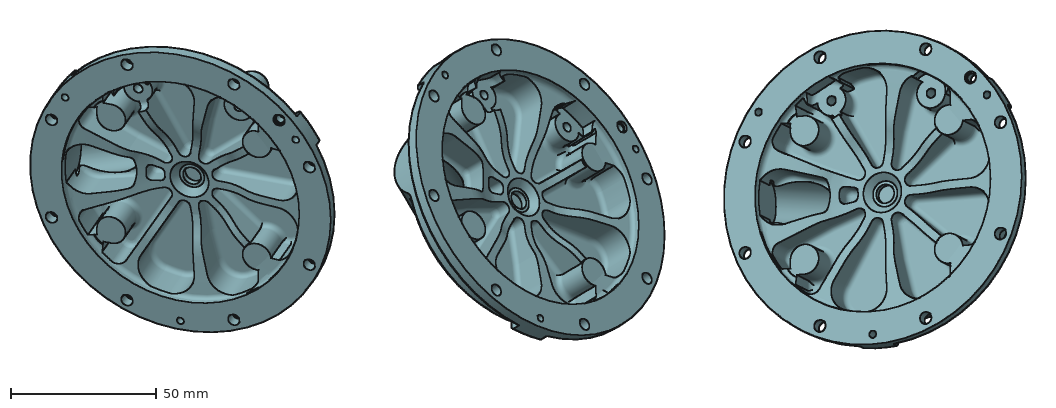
import cadquery as cq
import math


far = 49.5
margin = 0.1

flange_radius = 55
flange_thickness = 4.6
flange_chamfer_axial = 0.5
flange_chamfer_radial = 0.28
bolt_count = 8
bolt_circle = 51.0
bolt_diameter = 4.2
dowel_circle = 51.5
dowel_diameter = 2.5
dowel_angles = (35, 145, 270)
jack_hole_angle = 45
jack_hole_diameter = 3.1
jack_counterbore_diameter = 4.2
jack_counterbore_depth = 1.1

pad_half_width = 6.2
pad_top = 8.4
pad_root_fillet = 3.3
pad_rim_chamfer = 0.9

dome_radius = 46.0
dome_top = 19.4
dome_chamfer_axial = 3.3
dome_chamfer_radial = 3.1
hub_top = 23.3
hub_base_radius = 24.3
hub_top_radius = 20.6

bore_radius = 87.0 / 2
web_depth = 3.3
web_corner_fillet = 1.8
hub_web_depth = 9.2
dish_inner_radius = 13.8
dish_outer_radius = 27.8
web_slope = 6
recess_rim_radius = 7.0
recess_step_radius = 9.0 / 2
recess_floor_radius = 6.6 / 2
recess_step_depth = 11.9
recess_floor_depth = 14.3

pocket_depth = 16.3
pocket_wall_radius = 43.1
floor_fillet = 1.9
tip_radius = 2.3
rib_pitch = 40
petal_angles = (0, 40, 80, 120, 200, 240, 280, 320)
narrow_petal_angles = (120, 200)
rib_half_width = 1.5
flare_start = 23.1
flared_half_width = 3.1
flared_ribs = (80, 160, 200, 280)
petal_corner_radius = 7.7
narrow_corner_radius = 3.3

post_radius = 10.5 / 2
post_x = 26.6
post_z = 22.5
post_shoulder = 3.0
slab_thickness = 1.1
post_top = 3.7
post_seat_radius = 6.8
block_offset_x = 0.7
block_offset_z = -0.5
pin_x = 18.4
pin_z = 33.3
pin_top = 24.3
pin_hole_diameter = 3.3
pin_web_start = 40.2
pin_web_half_width = 7.2
pin_face_depth = 8.1
pin_face_radius = 7.2

pipe_angle = 35
pipe_radius = 12.5
pipe_bore_diameter = 15.1
pipe_length = 66
pipe_bore_length = 37.4
pipe_end_x = -11.2
pipe_end_y = 32.2
pipe_blend = 4.2
pipe_foot_min_z = 9.9

inlet_near_x = -18.8
inlet_near_corner = (-20.0, 5.9)
inlet_far_corner = (-33.7, 9.5)
inlet_bulge = (-38.0, 9.6)
inlet_rim_z = 6.0
relief_outer_x = -15.7
relief_inner_x = -9.0
relief_outer_half_width = 3.4
relief_inner_half_width = 2.3
relief_corner_radius = 2.0


def plane_at(y):
    """Sketch plane across the axis at height y; local axes are X and Z."""
    return cq.Workplane("XZ", origin=(0, y, 0))


def disc(radius, y_start, y_end, x=0, z=0):
    return plane_at(y_start).center(x, z).circle(radius).extrude(y_start - y_end)


def polar(radius, angle):
    a = math.radians(angle)
    return (radius * math.cos(a), radius * math.sin(a))


def revolve_about_y(profile):
    return profile.close().revolve(360, (0, 0, 0), (0, 1, 0))


def flange():
    body = (
        cq.Workplane("XY")
        .lineTo(flange_radius, 0)
        .lineTo(flange_radius, flange_thickness - flange_chamfer_axial)
        .lineTo(flange_radius - flange_chamfer_radial, flange_thickness)
        .lineTo(0, flange_thickness)
    )
    return revolve_about_y(body)


def dowel_pads():
    """Three pads running from the dome to the flange rim, with rounded roots."""
    pads = disc(dome_radius, 0, pad_top)
    for angle in dowel_angles:
        pad = (
            plane_at(0)
            .transformed(rotate=(0, 0, angle))
            .center(flange_radius / 2, 0)
            .rect(flange_radius + pad_half_width, 2 * pad_half_width)
            .extrude(-pad_top)
        )
        pads = pads.union(pad)
    root_angle = math.degrees(math.asin(pad_half_width / dome_radius))
    for angle in dowel_angles:
        for side in (-1, 1):
            root = polar(dome_radius, angle + side * root_angle)
            nearest = cq.selectors.NearestToPointSelector((root[0], pad_top / 2, root[1]))
            pads = pads.edges("|Y").edges(nearest).fillet(pad_root_fillet)
    rim = disc(flange_radius, 0, pad_top).faces(">Y").chamfer(pad_rim_chamfer)
    return pads.intersect(rim)


def dome():
    shell = disc(dome_radius, 0, dome_top).faces(">Y").chamfer(dome_chamfer_axial, dome_chamfer_radial)
    hub = (
        cq.Workplane("XY")
        .moveTo(0, pocket_depth)
        .lineTo(hub_base_radius, pocket_depth)
        .lineTo(hub_base_radius, dome_top)
        .lineTo(hub_top_radius, hub_top)
        .lineTo(0, hub_top)
    )
    return shell.union(revolve_about_y(hub))


def pipe_plane():
    """Plane of the pipe's open end; its normal points back down the pipe."""
    slope = math.radians(pipe_angle)
    return cq.Plane(
        origin=(pipe_end_x, pipe_end_y, 0),
        xDir=(0, 0, 1),
        normal=(-math.cos(slope), -math.sin(slope), 0),
    )


def pipe_body():
    """Round-topped pipe whose straight sides run down into the dome."""
    skirt = 2 * pipe_radius
    bar = (
        cq.Workplane(pipe_plane())
        .moveTo(-pipe_radius, -skirt)
        .lineTo(-pipe_radius, 0)
        .threePointArc((0, pipe_radius), (pipe_radius, 0))
        .lineTo(pipe_radius, -skirt)
        .close()
        .extrude(pipe_length)
    )
    return bar.intersect(disc(dome_radius, flange_thickness, far))


def dome_with_pipe():
    """Dome and pipe with a concave blend along both sides of the pipe's foot."""
    body = dome().union(pipe_body())
    for z_sign in (-1, 1):
        foot = cq.selectors.BoxSelector(
            (-dome_radius, dome_top - dome_chamfer_axial, z_sign * pipe_foot_min_z),
            (0, hub_top + margin, z_sign * (pipe_radius + margin)),
        )
        body = body.edges(foot).fillet(pipe_blend)
    return body


def dished_bore():
    """Bore plus the web surface, which sinks in an S-curve toward the hub."""
    rim_radius = bore_radius - web_corner_fillet
    dish_rim_depth = web_depth + (rim_radius - dish_outer_radius) * math.tan(math.radians(web_slope))
    mid_radius = (dish_inner_radius + dish_outer_radius) / 2
    mid_depth = (dish_rim_depth + hub_web_depth) / 2
    profile = (
        cq.Workplane("XY")
        .lineTo(bore_radius, 0)
        .lineTo(bore_radius, web_depth - web_corner_fillet)
        .radiusArc((rim_radius, web_depth), -web_corner_fillet)
        .lineTo(dish_outer_radius, dish_rim_depth)
        .tangentArcPoint((mid_radius, mid_depth), relative=False)
        .tangentArcPoint((dish_inner_radius, hub_web_depth), relative=False)
        .lineTo(0, hub_web_depth)
    )
    return revolve_about_y(profile)


def hub_recess():
    profile = (
        cq.Workplane("XY")
        .lineTo(recess_rim_radius, 0)
        .lineTo(recess_rim_radius, hub_web_depth)
        .lineTo(recess_step_radius, recess_step_depth)
        .lineTo(recess_floor_radius, recess_step_depth)
        .lineTo(recess_floor_radius, recess_floor_depth)
        .lineTo(0, recess_floor_depth)
    )
    return revolve_about_y(profile)


def rib_side(angle, side, along, half_width):
    """Point on one side of the rib at the given angle."""
    x, z = polar(along, angle)
    dx, dz = polar(side * half_width, angle + 90)
    return (x + dx, z + dz)


def rim_point(angle, side, half_width):
    return rib_side(angle, side, math.sqrt(pocket_wall_radius**2 - half_width**2), half_width)


def petal(start_angle, corner_radius):
    """Pocket between two neighbouring ribs, rounded at its tip, corners and floor."""
    end_angle = start_angle + rib_pitch
    mid_angle = start_angle + rib_pitch / 2
    apex = polar(rib_half_width / math.sin(math.radians(rib_pitch / 2)), mid_angle)
    start_width = flared_half_width if start_angle in flared_ribs else rib_half_width
    end_width = flared_half_width if end_angle in flared_ribs else rib_half_width
    start_rim = rim_point(start_angle, 1, start_width)
    end_rim = rim_point(end_angle, -1, end_width)
    cutter = (
        plane_at(0)
        .moveTo(*apex)
        .lineTo(*rib_side(start_angle, 1, flare_start, rib_half_width))
        .lineTo(*start_rim)
        .threePointArc(polar(pocket_wall_radius, mid_angle), end_rim)
        .lineTo(*rib_side(end_angle, -1, flare_start, rib_half_width))
        .close()
        .extrude(-pocket_depth)
    )
    for point, radius in ((apex, tip_radius), (start_rim, corner_radius), (end_rim, corner_radius)):
        nearest = cq.selectors.NearestToPointSelector((point[0], pocket_depth / 2, point[1]))
        cutter = cutter.edges("|Y").edges(nearest).fillet(radius)
    return cutter.faces(">Y").edges().fillet(floor_fillet)


def with_floor_fillet(post):
    """Stand a post on a slab below the pocket floor and round its foot."""
    slab = plane_at(pocket_depth).rect(4 * flange_radius, 4 * flange_radius).extrude(-slab_thickness)
    foot = cq.selectors.BoxSelector(
        (-flange_radius, pocket_depth - margin, -flange_radius),
        (flange_radius, pocket_depth + margin, flange_radius),
    )
    return slab.union(post).edges(foot).fillet(floor_fillet)


def corner_post(x_sign, z_sign):
    """Round post joined to the outer wall by a block on its outer side."""
    if x_sign > 0:
        outline = [
            (block_offset_x, block_offset_z),
            (block_offset_x, far),
            (far, far),
            (far, block_offset_z),
        ]
    else:
        outline = [
            (0, 0),
            (post_radius, 0),
            (post_radius, post_shoulder),
            (far, post_shoulder),
            (far, far),
            (post_shoulder, far),
            (post_shoulder, post_radius),
            (0, post_radius),
        ]
    corners = [(x_sign * (post_x + u), z_sign * (post_z + v)) for u, v in outline]
    block = plane_at(0).polyline(corners).close().extrude(-pocket_depth)
    post = disc(post_radius, 0, pocket_depth, x_sign * post_x, z_sign * post_z)
    return with_floor_fillet(post.union(block))


def pin_post(x_sign):
    """Round post below a pin, with a web closing the gap to the outer wall."""
    angle = math.degrees(math.atan2(pin_z, x_sign * pin_x))
    web = (
        plane_at(0)
        .transformed(rotate=(0, 0, angle))
        .center((pin_web_start + flange_radius) / 2, 0)
        .rect(flange_radius - pin_web_start, 2 * pin_web_half_width)
        .extrude(-pocket_depth)
    )
    post = disc(post_radius, 0, pocket_depth, x_sign * pin_x, pin_z)
    return with_floor_fillet(post).union(web)


def pin_face(x_sign):
    """Sunken round seat that lowers the end of a pin post."""
    seat = disc(pin_face_radius, 0, pin_face_depth, x_sign * pin_x, pin_z)
    if x_sign < 0:
        seat = seat.faces(">Y").edges().fillet(floor_fillet)
    return seat.intersect(disc(bore_radius, 0, pin_face_depth))


def pipe_inlet():
    """Pocket that the pipe's bore opens into."""
    rim_x = -math.sqrt(pocket_wall_radius**2 - inlet_rim_z**2)
    near_x, near_z = inlet_near_corner
    far_x, far_z = inlet_far_corner
    bulge_x, bulge_z = inlet_bulge
    cutter = (
        plane_at(0)
        .moveTo(near_x, -near_z)
        .threePointArc((inlet_near_x, 0), (near_x, near_z))
        .lineTo(far_x, far_z)
        .threePointArc((bulge_x, bulge_z), (rim_x, inlet_rim_z))
        .threePointArc((-pocket_wall_radius, 0), (rim_x, -inlet_rim_z))
        .threePointArc((bulge_x, -bulge_z), (far_x, -far_z))
        .close()
        .extrude(-pocket_depth)
    )
    return cutter.edges("|Y").edges(">X").fillet(tip_radius).faces(">Y").edges().fillet(floor_fillet)


def hub_relief():
    corners = [
        (relief_outer_x, -relief_outer_half_width),
        (relief_inner_x, -relief_inner_half_width),
        (relief_inner_x, relief_inner_half_width),
        (relief_outer_x, relief_outer_half_width),
    ]
    cutter = plane_at(0).polyline(corners).close().extrude(-pocket_depth)
    return cutter.edges("|Y").fillet(relief_corner_radius).faces(">Y").edges().fillet(floor_fillet)


def pipe_bore():
    bore = cq.Workplane(pipe_plane()).circle(pipe_bore_diameter / 2).extrude(pipe_bore_length)
    return bore.intersect(disc(pocket_wall_radius, 0, far))


body = dome_with_pipe().union(flange()).union(dowel_pads())
for x_sign in (-1, 1):
    body = body.union(disc(post_radius, pocket_depth, pin_top, x_sign * pin_x, pin_z))

body = body.cut(dished_bore()).cut(hub_recess())

for x_sign in (-1, 1):
    for z_sign in (-1, 1):
        body = body.union(disc(post_radius, post_top, pocket_depth, x_sign * post_x, z_sign * post_z))

for z_sign in (-1, 1):
    body = body.cut(disc(post_seat_radius, 0, post_top, -post_x, z_sign * post_z))

posts = [corner_post(x_sign, z_sign) for x_sign in (-1, 1) for z_sign in (-1, 1)]
posts += [pin_post(x_sign) for x_sign in (-1, 1)]
for start_angle in petal_angles:
    beside_inlet = start_angle in narrow_petal_angles
    cutter = petal(start_angle, narrow_corner_radius if beside_inlet else petal_corner_radius)
    for post in posts:
        cutter = cutter.cut(post)
    body = body.cut(cutter)

body = body.cut(pipe_inlet()).cut(hub_relief()).cut(pipe_bore())

for x_sign in (-1, 1):
    body = body.cut(pin_face(x_sign))
    body = body.cut(disc(pin_hole_diameter / 2, 0, pin_top, x_sign * pin_x, pin_z))

for index in range(bolt_count):
    x, z = polar(bolt_circle, (index + 0.5) * 360 / bolt_count)
    body = body.cut(disc(bolt_diameter / 2, 0, pad_top, x, z))
for angle in dowel_angles:
    body = body.cut(disc(dowel_diameter / 2, 0, pad_top, *polar(dowel_circle, angle)))
jack_x, jack_z = polar(bolt_circle, jack_hole_angle)
body = body.cut(disc(jack_hole_diameter / 2, 0, flange_thickness, jack_x, jack_z))
body = body.cut(disc(jack_counterbore_diameter / 2, 0, jack_counterbore_depth, jack_x, jack_z))

result = body